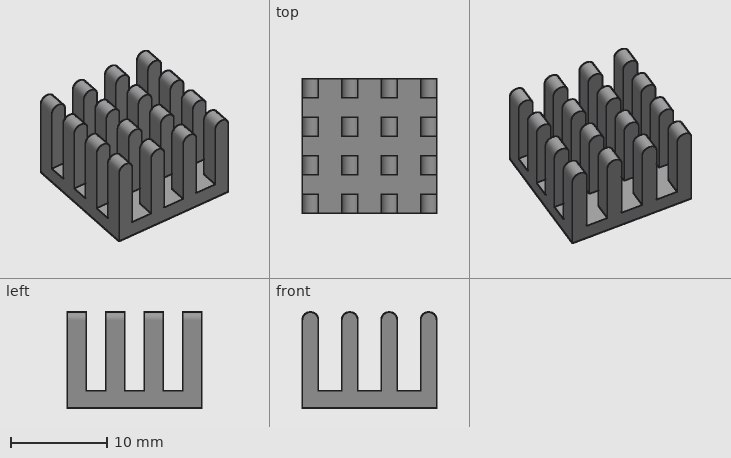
import cadquery as cq

side = 14.0
total_height = 10.0
base_thickness = 1.8
pin_width = 1.7
pin_depth = 2.0
pins_per_row = 4

pitch_x = (side - pin_width) / (pins_per_row - 1)
pitch_y = (side - pin_depth) / (pins_per_row - 1)
tip_radius = pin_width / 2
shoulder_height = total_height - tip_radius


def make_pin():
    """Pin standing on Z = 0, rooted in the base, with a full-round tip along Y."""
    return (
        cq.Workplane("XZ")
        .moveTo(-pin_width / 2, 0)
        .lineTo(-pin_width / 2, shoulder_height)
        .threePointArc((0, total_height), (pin_width / 2, shoulder_height))
        .lineTo(pin_width / 2, 0)
        .close()
        .extrude(pin_depth / 2, both=True)
    )


base = cq.Workplane("XY").box(side, side, base_thickness, centered=(True, True, False))

pin = make_pin().val()
pins = (
    cq.Workplane("XY")
    .rarray(pitch_x, pitch_y, pins_per_row, pins_per_row)
    .eachpoint(lambda location: pin.located(location))
)

result = base.union(pins)